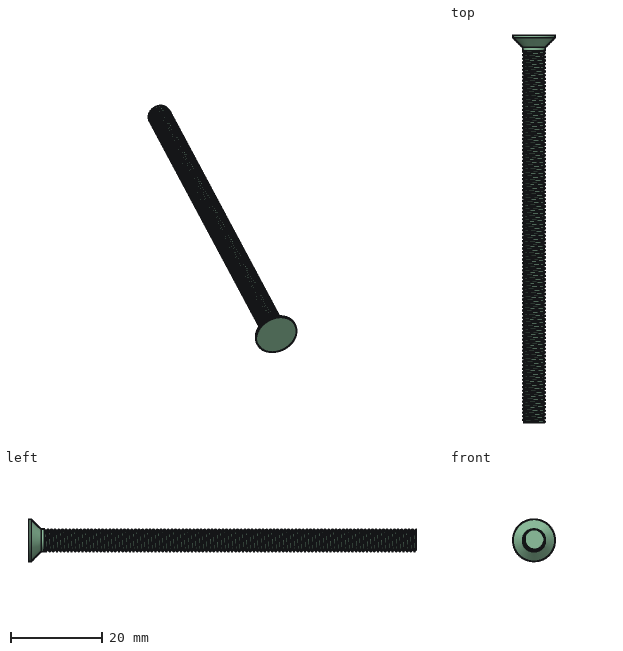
import cadquery as cq
import math

length = 85.0
head_diameter = 9.3
head_height = 2.7
neck_diameter = 5.0
pitch = 0.8
thread_turns = 102
thread_allowance = 0.024

head_radius = head_diameter / 2
neck_radius = neck_diameter / 2
crest_radius = (neck_diameter - thread_allowance) / 2
rim_height = head_height - (head_radius - neck_radius)
neck_end = thread_turns * pitch - length

depth_per_pitch = 0.6134
thread_depth = depth_per_pitch * pitch
flank_points = 12


def polar(radius, angle):
    """Point at an angle measured from the middle of the crest, which faces -Y."""
    return (radius * math.sin(angle), -radius * math.cos(angle))


def falling_flank(t):
    """Spiral from the crest in to the root, half a turn away, t from 0 to 1."""
    return polar(crest_radius - t * thread_depth, t * math.pi)


def rising_flank(t):
    """Mirror image of the falling flank, from the root back to the crest."""
    x, y = falling_flank(1 - t)
    return (-x, y)


def make_first_turn():
    """The right-hand thread turn at the tip: a cross-section twisted once over one pitch."""
    section = (
        cq.Workplane("XY")
        .parametricCurve(falling_flank, N=flank_points, makeWire=False)
        .moveTo(*falling_flank(1))
        .parametricCurve(rising_flank, N=flank_points, makeWire=False)
        .wire()
    )
    thread_turn = section.twistExtrude(pitch, 360)
    return thread_turn.rotate((0, 0, 0), (1, 0, 0), -90).translate((0, -length, 0))


def make_head():
    """Countersunk head and plain neck, revolved about the Y axis."""
    return (
        cq.Workplane("XY")
        .lineTo(head_radius, 0)
        .lineTo(head_radius, -rim_height)
        .lineTo(neck_radius, -head_height)
        .lineTo(neck_radius, neck_end)
        .lineTo(0, neck_end)
        .close()
        .revolve(360, (0, 0), (0, 1))
    )


def make_screw():
    """Sews the head and all thread turns into one solid, leaving out the faces where they meet."""
    head = make_head()
    first_turn = make_first_turn()
    last_turn = first_turn.translate((0, (thread_turns - 1) * pitch, 0))

    neck_rim = head.faces("<Y").val().outerWire()
    thread_outline = last_turn.faces("%PLANE").faces(">Y").val().outerWire()
    shoulder = cq.Face.makeFromWires(neck_rim, [thread_outline])
    tip = first_turn.faces("%PLANE").faces("<Y").val()

    faces = head.faces("not <Y").vals() + [shoulder, tip]
    helical_faces = first_turn.faces("not %PLANE")
    for index in range(thread_turns):
        faces += helical_faces.translate((0, index * pitch, 0)).vals()
    return cq.Solid.makeSolid(cq.Shell.makeShell(faces))


result = cq.Workplane(obj=make_screw())